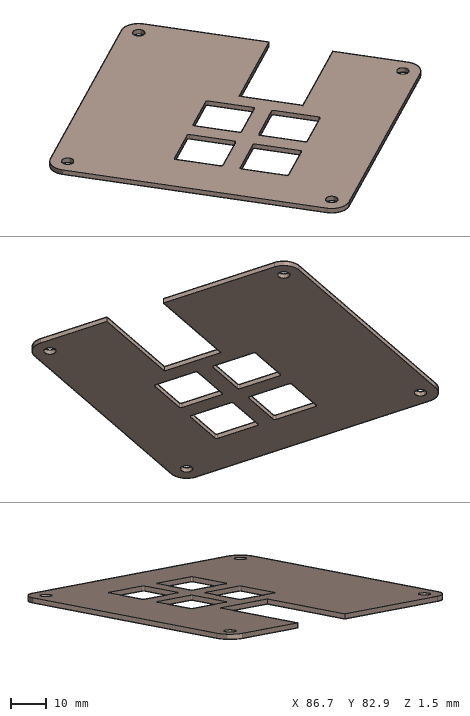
import cadquery as cq

plate_length = 86.7
plate_width = 82.9
plate_thickness = 1.5
corner_radius = 5.0

mount_hole_diameter = 3.4

notch_left_inset = 41.4
notch_width = 18.5
notch_depth = 30.7

key_size = 14.0
key_corner_radius = 0.5
key_pitch = 19.1
key_rows = 2
key_columns = 2
key_grid_left_inset = 33.3
key_grid_top_inset = 35.6

left_edge = -plate_length / 2
top_edge = plate_width / 2


def make_plate():
    return (
        cq.Workplane("XY")
        .rect(plate_length, plate_width)
        .extrude(plate_thickness)
        .edges("|Z")
        .fillet(corner_radius)
    )


def make_mount_holes():
    return (
        cq.Workplane("XY")
        .rect(
            plate_length - 2 * corner_radius,
            plate_width - 2 * corner_radius,
            forConstruction=True,
        )
        .vertices()
        .circle(mount_hole_diameter / 2)
        .extrude(plate_thickness)
    )


def make_notch():
    return (
        cq.Workplane("XY")
        .moveTo(left_edge + notch_left_inset, top_edge - notch_depth)
        .rect(notch_width, notch_depth, centered=False)
        .extrude(plate_thickness)
    )


def make_key_openings():
    grid_center_x = left_edge + key_grid_left_inset + ((key_columns - 1) * key_pitch + key_size) / 2
    grid_center_y = top_edge - key_grid_top_inset - ((key_rows - 1) * key_pitch + key_size) / 2
    return (
        cq.Workplane("XY")
        .center(grid_center_x, grid_center_y)
        .rarray(key_pitch, key_pitch, key_columns, key_rows)
        .rect(key_size, key_size)
        .extrude(plate_thickness)
        .edges("|Z")
        .fillet(key_corner_radius)
    )


result = make_plate().cut(make_mount_holes()).cut(make_notch()).cut(make_key_openings())